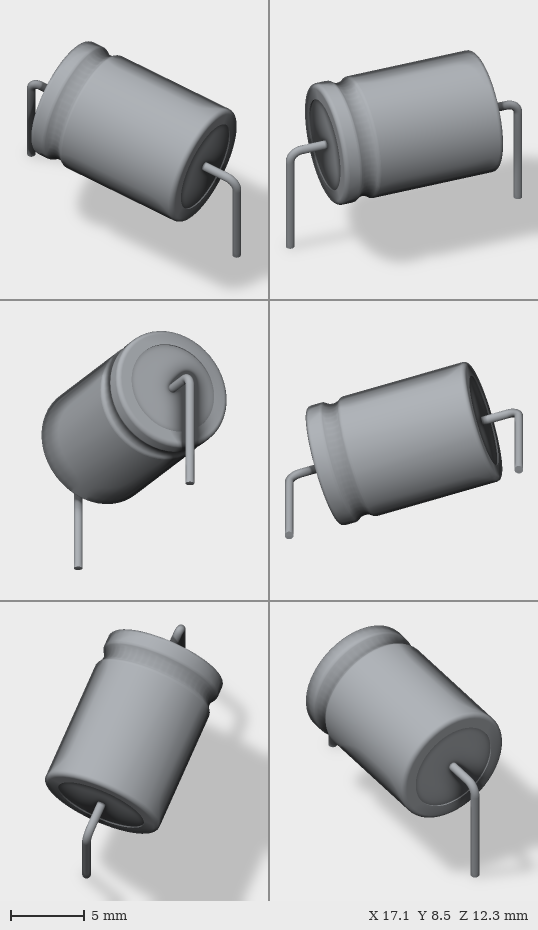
import cadquery as cq
import math


can_length = 11.5
can_radius = 8.5 / 2
edge_radius = 0.3
can_half = can_length / 2

groove_offset = 1.81
groove_half_width = 0.77
groove_depth = 0.29
lip_radius = edge_radius

disc_radius = 3.18
disc_thickness = 0.25
disc_setback = 0.1

overall_length = 17.11
overall_height = 12.3
lead_diameter = 0.6
bend_radius = 0.8
lead_x = (overall_length - lead_diameter) / 2
lead_bottom = can_radius - overall_height

disc_outer_face = can_half - disc_setback
disc_inner_face = disc_outer_face - disc_thickness
end_sides = (-1, 1)


def on_arc(centre_x, centre_r, radius, angle):
    """Point at an angle from the +radial direction, turning toward +X."""
    return (centre_x + radius * math.sin(angle), centre_r + radius * math.cos(angle))


def make_can():
    """Revolved can with rounded ends, a rolled groove, and a recess for each disc."""
    groove_x = groove_offset - can_half
    lip_centre_r = can_radius - lip_radius

    radii_sum = (groove_half_width**2 + groove_depth**2) / (2 * groove_depth)
    groove_radius = radii_sum - lip_radius
    groove_centre_r = can_radius - groove_depth + groove_radius
    lip_angle = math.asin(groove_half_width / radii_sum)

    left_lip_x = groove_x - groove_half_width
    right_lip_x = groove_x + groove_half_width
    edge_x = can_half - edge_radius
    edge_r = can_radius - edge_radius
    mid_edge = math.pi / 4

    profile = (
        cq.Workplane("XY")
        .moveTo(-can_half, 0)
        .lineTo(-can_half, edge_r)
        .threePointArc(on_arc(-edge_x, edge_r, edge_radius, -mid_edge), (-edge_x, can_radius))
        .lineTo(left_lip_x, can_radius)
        .threePointArc(
            on_arc(left_lip_x, lip_centre_r, lip_radius, lip_angle / 2),
            on_arc(left_lip_x, lip_centre_r, lip_radius, lip_angle),
        )
        .threePointArc(
            (groove_x, groove_centre_r - groove_radius),
            on_arc(right_lip_x, lip_centre_r, lip_radius, -lip_angle),
        )
        .threePointArc(
            on_arc(right_lip_x, lip_centre_r, lip_radius, -lip_angle / 2),
            (right_lip_x, can_radius),
        )
        .lineTo(edge_x, can_radius)
        .threePointArc(on_arc(edge_x, edge_r, edge_radius, mid_edge), (can_half, edge_r))
        .lineTo(can_half, 0)
        .close()
    )
    can = profile.revolve(360, (0, 0, 0), (1, 0, 0))

    for side in end_sides:
        recess = (
            cq.Workplane("YZ", origin=(side * disc_inner_face, 0, 0))
            .circle(disc_radius)
            .extrude(side * (can_half - disc_inner_face))
        )
        can = can.cut(recess)
    return can


def make_end_disc(side):
    """Disc closing one end of the can, with a central hole for its lead."""
    return (
        cq.Workplane("YZ", origin=(side * disc_inner_face, 0, 0))
        .circle(disc_radius)
        .circle(lead_diameter / 2)
        .extrude(side * disc_thickness)
    )


def make_lead(side):
    """Round wire running from the recess floor outward, then bent straight down."""
    bend_start_x = lead_x - bend_radius
    bend_middle = on_arc(bend_start_x, -bend_radius, bend_radius, math.pi / 4)
    path = (
        cq.Workplane("XZ")
        .moveTo(side * disc_inner_face, 0)
        .lineTo(side * bend_start_x, 0)
        .threePointArc((side * bend_middle[0], bend_middle[1]), (side * lead_x, -bend_radius))
        .lineTo(side * lead_x, lead_bottom)
    )
    return (
        cq.Workplane("YZ", origin=(side * disc_inner_face, 0, 0))
        .circle(lead_diameter / 2)
        .sweep(path)
    )


can = make_can()
end_discs = [make_end_disc(side) for side in end_sides]
leads = [make_lead(side) for side in end_sides]

result = cq.Compound.makeCompound(
    [can.val()] + [disc.val() for disc in end_discs] + [lead.val() for lead in leads]
)